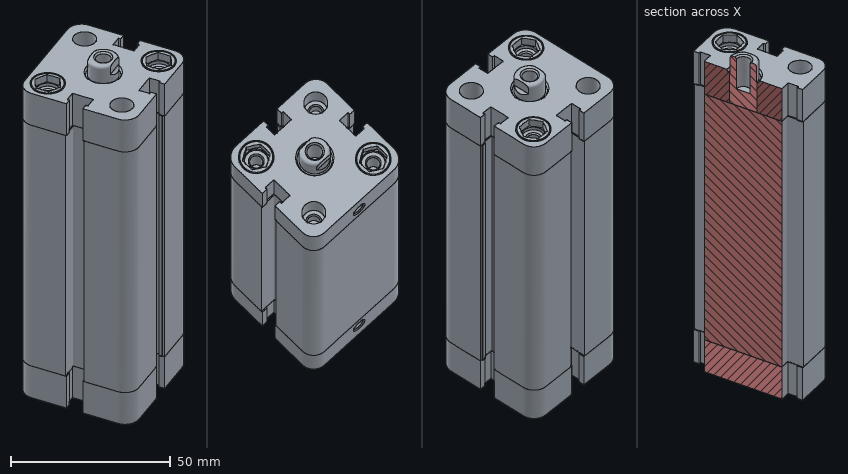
import cadquery as cq

SIDE = 40.3
CORNER_RADIUS = 5.0
CAP_HEIGHT = 12.5
TOTAL_LENGTH = 125.0
ROD_PROJECTION = 5.8
BARREL_LENGTH = TOTAL_LENGTH - ROD_PROJECTION - 2 * CAP_HEIGHT
BARREL_BOTTOM = CAP_HEIGHT
BARREL_TOP = BARREL_BOTTOM + BARREL_LENGTH
BODY_TOP = BARREL_TOP + CAP_HEIGHT

SLOT_FLOOR = 14.35
CAP_LIP_FACE = 18.05
BARREL_LIP_FACE = 18.25
BARREL_LIP_FRONT = 19.4
SLOT_OUTSIDE = 22.0
MOUTH_WIDTH = 5.75
CAP_SLOT_WIDTH = 7.3
BARREL_SLOT_WIDTH = 6.5
SLOT_FILLET = 0.4
BARREL_MOUTH_WIDTH = 5.0
SIDE_SLOT_ANGLES = (90, -90)
SLOT_ANGLES = (0, *SIDE_SLOT_ANGLES)

M5_CORE = 4.13
M5_RIM = 5.0
M6_CORE = 4.92
M6_RIM = 6.0

PORT_HEIGHT = 7.5
PORT_DEPTH = 10.0

CORNER_OFFSET = 13.0
SCREW_CORNERS = ((-CORNER_OFFSET, -CORNER_OFFSET), (CORNER_OFFSET, CORNER_OFFSET))
HOLE_CORNERS = ((-CORNER_OFFSET, CORNER_OFFSET), (CORNER_OFFSET, -CORNER_OFFSET))
CORNER_HOLE_DIAMETER = 7.5
CORNER_HOLE_DEPTH = 8.0

HEAD_RECESS_DIAMETER = 11.1
HEAD_DIAMETER = 10.9
HEAD_CHAMFER = 0.3
HEAD_RECESS_DEPTH = 1.0
SOCKET_ACROSS_CORNERS = 9.0
SOCKET_RELIEF_DIAMETER = 8.0
SOCKET_POCKET_DIAMETER = 7.5
HEXAGON_DEPTH = 2.8
SOCKET_DEPTH = 4.0

ROD_DIAMETER = 10.0
ROD_TOP = TOTAL_LENGTH
ROD_TIP_RADIUS = 1.25
ROD_FLATS = 8.0
ROD_FLATS_LENGTH = 3.4
ROD_HOLE_DEPTH = 12.0
ROD_SEAL_DIAMETER = 12.0
ROD_SEAL_DEPTH = 1.0
ROD_SEAL_TAPER = 25


def square_block(bottom, height):
    block = cq.Workplane("XY").workplane(offset=bottom).rect(SIDE, SIDE).extrude(height)
    return block.edges("|Z").fillet(CORNER_RADIUS)


def slot_piece(width, inner_x, outer_x, bottom, height):
    """Box cut into the +X side between two distances from the axis."""
    return cq.Workplane("XY").box(
        outer_x - inner_x, width, height, centered=(False, True, False)
    ).translate((inner_x, 0, bottom))


def turned(slot, angle):
    return slot.rotate((0, 0, 0), (0, 0, 1), angle)


def threaded_hole(top, depth, core, rim):
    """Blind hole going down from the given height, with a 45 degree countersink."""
    hole = cq.Workplane("XY").workplane(offset=top).circle(core / 2).extrude(-depth)
    sink_depth = (rim - core) / 2
    sink = cq.Workplane("XY").add(cq.Solid.makeCone(core / 2, rim / 2, sink_depth))
    return hole.union(sink.translate((0, 0, top - sink_depth)))


def port(height):
    return (
        threaded_hole(0, PORT_DEPTH, M5_CORE, M5_RIM)
        .rotate((0, 0, 0), (0, 1, 0), -90)
        .translate((-SIDE / 2, 0, height))
    )


def plain_cap(bottom, port_height):
    """Cap with its three lipped slots and its port."""
    cap = square_block(bottom, CAP_HEIGHT)
    mouth = slot_piece(MOUTH_WIDTH, CAP_LIP_FACE, SLOT_OUTSIDE, bottom, CAP_HEIGHT)
    groove = slot_piece(CAP_SLOT_WIDTH, SLOT_FLOOR, CAP_LIP_FACE, bottom, CAP_HEIGHT)
    slot = mouth.union(groove)
    for angle in SLOT_ANGLES:
        cap = cap.cut(turned(slot, angle))
    return cap.cut(port(port_height))


def corner_hole():
    """Stepped hole: plain counterbore, then a thread core down to the barrel."""
    counterbore = (
        cq.Workplane("XY").workplane(offset=BODY_TOP)
        .circle(CORNER_HOLE_DIAMETER / 2).extrude(-CORNER_HOLE_DEPTH)
    )
    return counterbore.union(
        threaded_hole(BODY_TOP - CORNER_HOLE_DEPTH, CAP_HEIGHT - CORNER_HOLE_DEPTH, M5_CORE, M5_RIM)
    )


def head_recess():
    """Narrow ring gap around a chamfered screw head."""
    recess = (
        cq.Workplane("XY").workplane(offset=BODY_TOP)
        .circle(HEAD_RECESS_DIAMETER / 2).extrude(-HEAD_RECESS_DEPTH)
    )
    head = (
        cq.Workplane("XY").workplane(offset=BODY_TOP)
        .circle(HEAD_DIAMETER / 2).extrude(-HEAD_RECESS_DEPTH)
        .faces(">Z").chamfer(HEAD_CHAMFER)
    )
    return recess.cut(head)


def screw_socket():
    """Hexagon socket on a round pocket, with a thread core below."""
    hexagon = (
        cq.Workplane("XY").workplane(offset=BODY_TOP)
        .polygon(6, SOCKET_ACROSS_CORNERS).extrude(-HEXAGON_DEPTH)
    )
    relief = (
        cq.Workplane("XY").workplane(offset=BODY_TOP)
        .circle(SOCKET_RELIEF_DIAMETER / 2).extrude(-HEXAGON_DEPTH)
    )
    pocket = (
        cq.Workplane("XY").workplane(offset=BODY_TOP)
        .circle(SOCKET_POCKET_DIAMETER / 2).extrude(-SOCKET_DEPTH)
    )
    core = threaded_hole(BODY_TOP - SOCKET_DEPTH, CAP_HEIGHT - SOCKET_DEPTH, M5_CORE, M5_RIM)
    return hexagon.union(relief).union(pocket).union(core)


def make_end_cap():
    return plain_cap(0, PORT_HEIGHT)


def make_bearing_cap():
    cap = plain_cap(BARREL_TOP, BODY_TOP - PORT_HEIGHT)
    for x, y in HOLE_CORNERS:
        cap = cap.cut(corner_hole().translate((x, y, 0)))
    for x, y in SCREW_CORNERS:
        cap = cap.cut(head_recess().translate((x, y, 0)))
        cap = cap.cut(screw_socket().translate((x, y, 0)))
    bore = cq.Workplane("XY").workplane(offset=BARREL_TOP).circle(ROD_DIAMETER / 2).extrude(CAP_HEIGHT)
    seal_recess = (
        cq.Workplane("XY").workplane(offset=BODY_TOP)
        .circle(ROD_SEAL_DIAMETER / 2).extrude(-ROD_SEAL_DEPTH, taper=ROD_SEAL_TAPER)
    )
    return cap.cut(bore).cut(seal_recess)


def make_barrel():
    barrel = square_block(BARREL_BOTTOM, BARREL_LENGTH)
    side_slot = slot_piece(BARREL_SLOT_WIDTH, SLOT_FLOOR, SLOT_OUTSIDE, BARREL_BOTTOM, BARREL_LENGTH)
    side_slot = side_slot.edges("|Z and <X").fillet(SLOT_FILLET)
    for angle in SIDE_SLOT_ANGLES:
        barrel = barrel.cut(turned(side_slot, angle))
    for width, inner_x, outer_x in (
        (BARREL_SLOT_WIDTH, SLOT_FLOOR, BARREL_LIP_FACE),
        (BARREL_MOUTH_WIDTH, BARREL_LIP_FACE, BARREL_LIP_FRONT),
        (MOUTH_WIDTH, BARREL_LIP_FRONT, SLOT_OUTSIDE),
    ):
        barrel = barrel.cut(slot_piece(width, inner_x, outer_x, BARREL_BOTTOM, BARREL_LENGTH))
    return barrel


def flat_cutter():
    """Wedge beside the +X flat, with a 45 degree run-out to the rod surface."""
    flat_x = ROD_FLATS / 2
    reach = ROD_DIAMETER - flat_x
    flat_bottom = ROD_TOP - ROD_FLATS_LENGTH
    profile = [
        (flat_x, ROD_TOP),
        (flat_x, flat_bottom),
        (flat_x + reach, flat_bottom - reach),
        (flat_x + reach, ROD_TOP),
    ]
    return cq.Workplane("XZ").polyline(profile).close().extrude(ROD_DIAMETER / 2, both=True)


def make_piston_rod():
    rod = (
        cq.Workplane("XY").workplane(offset=BARREL_TOP)
        .circle(ROD_DIAMETER / 2).extrude(ROD_TOP - BARREL_TOP)
        .faces(">Z").edges().fillet(ROD_TIP_RADIUS)
    )
    for angle in (0, 180):
        rod = rod.cut(turned(flat_cutter(), angle))
    return rod.cut(threaded_hole(ROD_TOP, ROD_HOLE_DEPTH, M6_CORE, M6_RIM))


end_cap = make_end_cap()
barrel = make_barrel()
bearing_cap = make_bearing_cap()
piston_rod = make_piston_rod()

result = cq.Compound.makeCompound(
    [end_cap.val(), barrel.val(), bearing_cap.val(), piston_rod.val()]
)